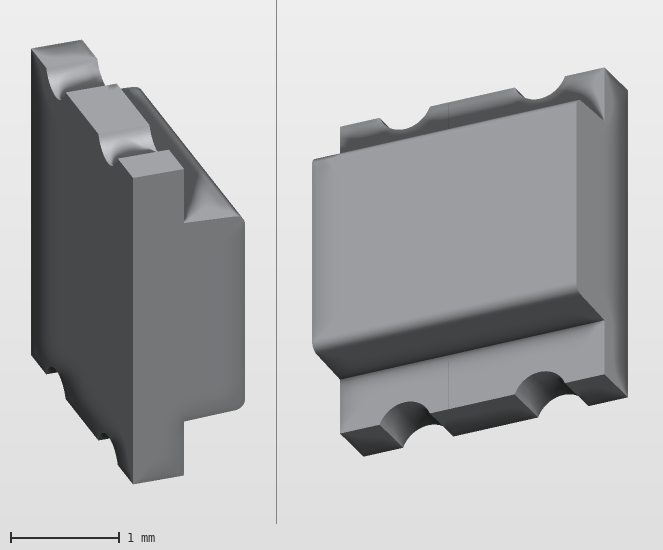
import cadquery as cq
import math

board_width = 2.7
board_height = 3.2
board_thickness = 0.502

total_depth = 1.1
lens_base_height = 2.075
lens_draft_angle = 2.8
lens_edge_radius = 0.1

pad_width = 0.9
pad_height = 0.5
terminal_pitch = 1.38
plating_thickness = 0.01
notch_radius = 0.275
notch_depth = 0.175

lens_depth = total_depth - board_thickness
top_edge = board_height / 2
notch_center_z = top_edge - notch_depth + notch_radius
terminal_columns = (-terminal_pitch / 2, terminal_pitch / 2)


def notch_cylinder(x, radius):
    """Cylinder along Y on a notch axis of the top edge, as long as the board is thick."""
    return cq.Workplane("XZ", origin=(x, 0, notch_center_z)).circle(radius).extrude(-board_thickness)


def edge_block(x, y_start, thickness):
    """Block as wide and high as a pad, flush with the top edge, reaching from y_start into +Y."""
    return (
        cq.Workplane("XY")
        .box(pad_width, thickness, pad_height, centered=(True, False, False))
        .translate((x, y_start, top_edge - pad_height))
    )


def top_terminal(x):
    """Front and rear pads joined by the plated lining of the edge notch."""
    front_pad = edge_block(x, 0, plating_thickness)
    rear_pad = edge_block(x, board_thickness - plating_thickness, plating_thickness)
    lining = notch_cylinder(x, notch_radius + plating_thickness).intersect(edge_block(x, 0, board_thickness))
    return lining.union(front_pad).union(rear_pad).cut(notch_cylinder(x, notch_radius))


def make_terminals():
    """Top terminals and their mirror images along the bottom edge."""
    terminals = []
    for x in terminal_columns:
        terminal = top_terminal(x)
        terminals.append(terminal)
        terminals.append(terminal.mirror("XY"))
    return terminals


def lens_block():
    """Drafted bar across the full board width with its two long outer edges rounded."""
    base_half = lens_base_height / 2
    outer_half = base_half - lens_depth * math.tan(math.radians(lens_draft_angle))
    profile = [
        (board_thickness, -base_half),
        (total_depth, -outer_half),
        (total_depth, outer_half),
        (board_thickness, base_half),
    ]
    lens = cq.Workplane("YZ").polyline(profile).close().extrude(board_width / 2, both=True)
    return lens.faces(">Y").edges("|X").fillet(lens_edge_radius)


def make_housing(terminals):
    """Board and lens in one piece, with edge notches and recesses that hold the terminals."""
    board = cq.Workplane("XY").box(
        board_width, board_thickness, board_height, centered=(True, False, True)
    )
    housing = board.union(lens_block())
    for x in terminal_columns:
        notch = notch_cylinder(x, notch_radius)
        housing = housing.cut(notch).cut(notch.mirror("XY"))
    for terminal in terminals:
        housing = housing.cut(terminal)
    return housing


terminals = make_terminals()
housing = make_housing(terminals)

result = cq.Compound.makeCompound(
    [housing.solids().val(), *[terminal.solids().val() for terminal in terminals]]
)